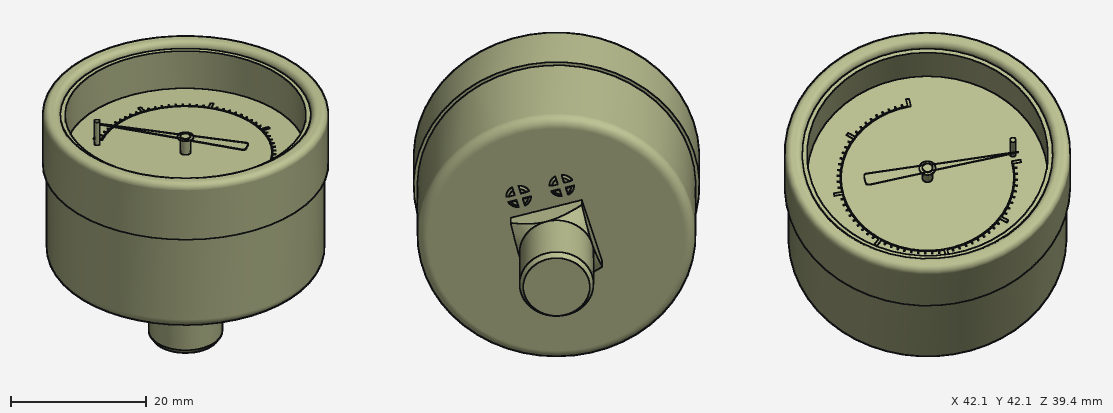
import cadquery as cq
import math


total_height = 39.38
square_bottom_z = 10.2
case_bottom_z = 13.95
bezel_bottom_z = 29.85
dial_z = 31.87

bezel_dia = 42.15
bezel_outer_round_width = 1.1
bezel_outer_round_height = 0.93
bezel_inner_round = 1.0
seat_outer_dia = 36.95
bore_dia = 35.55
case_dia = 41.05
case_bottom_round = 1.55

stem_dia = 10.9
stem_chamfer_height = 0.85
stem_chamfer_width = 0.55

screw_dia = 3.65
screw_height = 0.25
screw_chamfer_height = 0.2
screw_chamfer_width = 0.42
screw_slot_width = 0.95
screw_spacing = 6.6
screw_y = -8.65

scale_inner_radius = 12.75
scale_band_width = 0.13
scale_relief = 0.05
scale_start_deg = -45.0
scale_sweep_deg = 270.0
major_intervals = 6
minor_per_major = 10
major_tick_length = 1.35
major_tick_width = 0.45
minor_tick_length = 0.55
minor_tick_width = 0.13

spindle_dia = 1.5
spindle_tip = 0.05
hub_dia = 2.4
hub_flat_dia = 2.2
hub_height = 0.13
pointer_gap = 2.55
pointer_thickness = 0.13
pointer_angle_deg = 225.0
tip_length = 13.7
tip_half_width = 0.05
tip_root_half_width = 0.55
tail_length = 9.45
tail_half_width = 1.0
tail_root_half_width = 0.65
tail_round = 0.45

stop_pin_dia = 0.85
stop_pin_height = 3.95
stop_pin_x = -8.35
stop_pin_y = -10.3


def cylinder(diameter, bottom_z, height):
    """Cylinder centred on the gauge axis."""
    return cq.Workplane("XY").workplane(offset=bottom_z).circle(diameter / 2).extrude(height)


def polar(radius, angle):
    """Point at a radius and an angle in radians."""
    return (radius * math.cos(angle), radius * math.sin(angle))


def make_case():
    """Case and bezel, bored from the top down to the dial."""
    case = cylinder(case_dia, case_bottom_z, bezel_bottom_z - case_bottom_z)
    case = case.faces("<Z").edges().fillet(case_bottom_round)

    bezel_radius = bezel_dia / 2
    bore_radius = bore_dia / 2
    seat_radius = seat_outer_dia / 2
    seat_z = total_height - bezel_inner_round
    rim_outer_radius = bezel_radius - bezel_outer_round_width
    rim_inner_radius = seat_radius + bezel_inner_round
    outer_round_z = total_height - bezel_outer_round_height
    arc_mid = math.sqrt(0.5)
    outer_mid = (
        rim_outer_radius + bezel_outer_round_width * arc_mid,
        outer_round_z + bezel_outer_round_height * arc_mid,
    )
    inner_mid = (
        rim_inner_radius - bezel_inner_round * arc_mid,
        seat_z + bezel_inner_round * arc_mid,
    )
    bezel = (
        cq.Workplane("XZ")
        .moveTo(0, bezel_bottom_z)
        .lineTo(bezel_radius, bezel_bottom_z)
        .lineTo(bezel_radius, outer_round_z)
        .threePointArc(outer_mid, (rim_outer_radius, total_height))
        .lineTo(rim_inner_radius, total_height)
        .threePointArc(inner_mid, (seat_radius, seat_z))
        .lineTo(bore_radius, seat_z)
        .lineTo(bore_radius, dial_z)
        .lineTo(0, dial_z)
        .close()
        .revolve(360, (0, 0, 0), (0, 1, 0))
    )
    return case.union(bezel)


def make_stem():
    """Round stem under a square wrench section whose lower corners are turned to a 45 degree cone."""
    stem = cylinder(stem_dia, 0, square_bottom_z)
    stem = stem.faces("<Z").edges().chamfer(stem_chamfer_height, stem_chamfer_width)
    square_height = case_bottom_z - square_bottom_z
    square = (
        cq.Workplane("XY")
        .workplane(offset=square_bottom_z)
        .rect(stem_dia, stem_dia)
        .extrude(square_height)
    )
    stem_radius = stem_dia / 2
    cone_base = cq.Vector(0, 0, square_bottom_z)
    cone = cq.Solid.makeCone(stem_radius, stem_radius + square_height, square_height, pnt=cone_base)
    return stem.union(square.intersect(cq.Workplane(cone)))


def make_screw_head(x):
    """Tapered screw head with a cross slot, hanging below the case."""
    base = cq.Workplane("XY", origin=(x, screw_y, case_bottom_z))
    head = base.circle(screw_dia / 2).extrude(-screw_height)
    head = head.faces("<Z").edges().chamfer(screw_chamfer_height, screw_chamfer_width)
    slots = base.rect(screw_dia, screw_slot_width).extrude(-screw_height)
    slots = slots.union(base.rect(screw_slot_width, screw_dia).extrude(-screw_height))
    return head.cut(slots)


def make_tick(angle_deg, length, width):
    """Radial tick rising from the dial at the given angle."""
    return (
        cq.Workplane("XY", origin=(0, 0, dial_z))
        .center(scale_inner_radius + length / 2, 0)
        .rect(length, width)
        .extrude(scale_relief)
        .rotate((0, 0, 0), (0, 0, 1), angle_deg)
    )


def make_scale():
    """Arc band with long ticks at the major intervals and short ticks between them."""
    scale_outer_radius = scale_inner_radius + scale_band_width
    sweep = math.radians(scale_sweep_deg)
    band = (
        cq.Workplane("XY", origin=(0, 0, dial_z))
        .moveTo(scale_inner_radius, 0)
        .lineTo(scale_outer_radius, 0)
        .threePointArc(polar(scale_outer_radius, sweep / 2), polar(scale_outer_radius, sweep))
        .lineTo(*polar(scale_inner_radius, sweep))
        .threePointArc(polar(scale_inner_radius, sweep / 2), (scale_inner_radius, 0))
        .close()
        .extrude(scale_relief)
        .rotate((0, 0, 0), (0, 0, 1), scale_start_deg)
    )
    tick_count = major_intervals * minor_per_major
    ticks = []
    for index in range(tick_count + 1):
        angle_deg = scale_start_deg + scale_sweep_deg * index / tick_count
        if index % minor_per_major == 0:
            tick = make_tick(angle_deg, major_tick_length, major_tick_width)
        else:
            tick = make_tick(angle_deg, minor_tick_length, minor_tick_width)
        ticks.append(tick.val())
    return cq.Workplane(band.val().fuse(*ticks))


def make_pointer():
    """Spindle carrying the tapered pointer, held by a rounded hub."""
    spindle_height = pointer_gap + pointer_thickness + hub_height + spindle_tip
    spindle = cylinder(spindle_dia, dial_z, spindle_height)
    pointer_z = dial_z + pointer_gap
    blade = (
        cq.Workplane("XY", origin=(0, 0, pointer_z))
        .polyline([
            (tip_length, tip_half_width),
            (0, tip_root_half_width),
            (0, tail_root_half_width),
            (-tail_length, tail_half_width),
            (-tail_length, -tail_half_width),
            (0, -tail_root_half_width),
            (0, -tip_root_half_width),
            (tip_length, -tip_half_width),
        ])
        .close()
        .extrude(pointer_thickness)
        .edges("|Z and <X")
        .fillet(tail_round)
        .rotate((0, 0, 0), (0, 0, 1), pointer_angle_deg)
    )
    hub = cylinder(hub_dia, pointer_z + pointer_thickness, hub_height)
    hub = hub.faces(">Z").edges().fillet((hub_dia - hub_flat_dia) / 2)
    return spindle.union(blade).union(hub)


def make_stop_pin():
    """Round pin standing on the dial."""
    return (
        cq.Workplane("XY", origin=(stop_pin_x, stop_pin_y, dial_z))
        .circle(stop_pin_dia / 2)
        .extrude(stop_pin_height)
    )


result = make_case().union(make_stem())
for side in (-1, 1):
    result = result.union(make_screw_head(side * screw_spacing / 2))
result = result.union(make_scale()).union(make_pointer()).union(make_stop_pin())